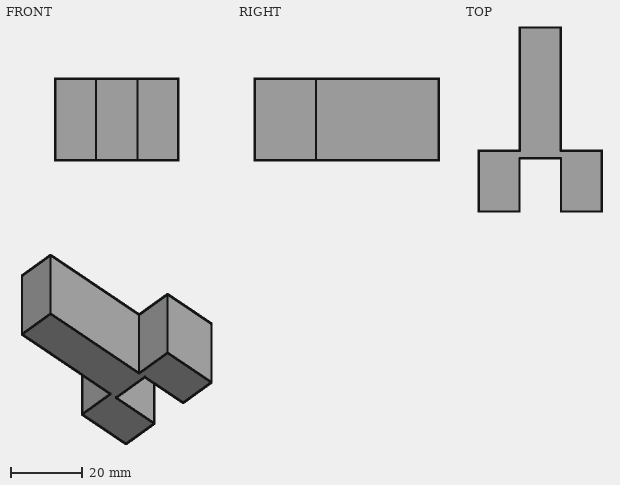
import cadquery as cq

height = 23.0
prong_width = 11.5
stem_width = 11.6
stem_length = 34.6
fork_length = 17.2
slot_depth = 15.0

fork_width = stem_width + 2 * prong_width


def block(width, y_start, length):
    """Full-height block centred on X, running from y_start towards +Y."""
    return (
        cq.Workplane("XY")
        .box(width, length, height, centered=(True, False, False))
        .translate((0, y_start, 0))
    )


fork = block(fork_width, 0, fork_length)
slot = block(stem_width, 0, slot_depth)
stem = block(stem_width, fork_length, stem_length)

result = fork.cut(slot).union(stem)